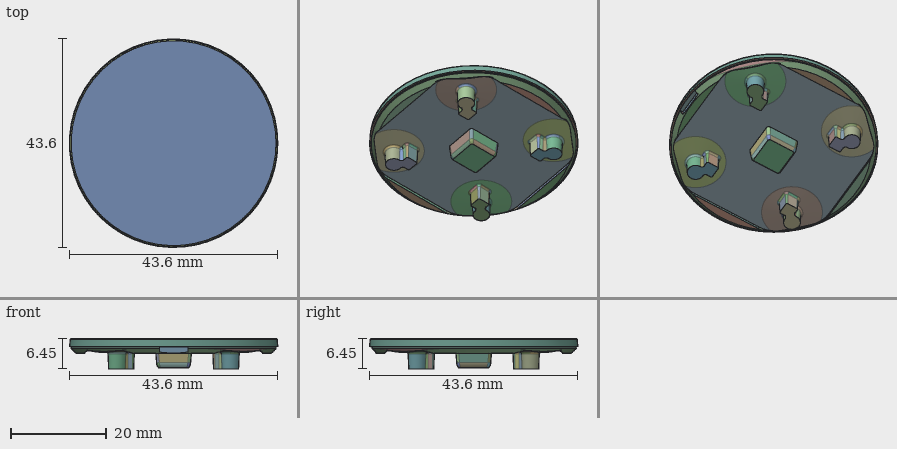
import cadquery as cq
import math

cap_radius = 21.8
cap_top_radius = 21.7
cap_height = 1.75
cap_chamfer = 0.25

film_thickness = 0.15

base_radius = 21.45
base_straight_bottom = -0.4
base_bottom = -1.45
rim_bottom_radius = base_radius - (base_straight_bottom - base_bottom)

notch_half_width = 2.95
notch_flat_distance = 20.5

recess_half_width = 18.65
recess_corner_distance = 20.6
recess_corner_fillet = 6.1
recess_floor = -0.75

peg_count = 4
peg_bottom = -4.7
peg_offset = 11.85
peg_radius = 1.75
peg_draft = 2.3
tail_inner = 8.35
tail_outer = 11.15
tail_corner_radius = 0.3
tail_blend_radius = 0.6
peg_root_fillet = 0.45

pad_radius = 10.45
pad_top = -0.35
pad_tip = -1.35

block_half_width = 3.58
block_top_half_width = 3.8
block_bottom_half_width = 3.15
block_rounding_top = -3.35
block_bottom = -4.45
block_corner_radius = 0.6


def turned(profile):
    """Solid made by turning a closed (radius, height) outline about the Z axis."""
    return cq.Workplane("XZ").polyline(profile).close().revolve(360, (0, 0, 0), (0, 1, 0))


def make_cap():
    """Disc that narrows a little towards its chamfered top face."""
    return turned([
        (0, 0),
        (cap_radius, 0),
        (cap_top_radius, cap_height - cap_chamfer),
        (cap_top_radius - cap_chamfer, cap_height),
        (0, cap_height),
    ])


def make_film():
    """Flat disc as wide as the base."""
    return cq.Workplane("XY").circle(base_radius).extrude(-film_thickness)


def rim_disc():
    """Plain base disc with its sloping rim."""
    return turned([
        (0, -film_thickness),
        (base_radius, -film_thickness),
        (base_radius, base_straight_bottom),
        (rim_bottom_radius, base_bottom),
        (0, base_bottom),
    ])


def side_notch():
    """Cutter that leaves a flat at the notch distance, through the full base thickness."""
    depth = base_radius - notch_flat_distance
    return (
        cq.Workplane("XY", origin=(0, -notch_flat_distance - depth / 2, base_bottom))
        .rect(2 * notch_half_width, depth)
        .extrude(-film_thickness - base_bottom)
    )


def recess():
    """Square pocket with 45 degree corner walls that run smoothly into its sides."""
    depth = recess_floor - base_bottom
    recess_plane = cq.Workplane("XY", origin=(0, 0, base_bottom))
    square = recess_plane.rect(2 * recess_half_width, 2 * recess_half_width).extrude(depth)
    diamond = (
        recess_plane
        .rect(2 * recess_corner_distance, 2 * recess_corner_distance)
        .extrude(depth)
        .rotate((0, 0, 0), (0, 0, 1), 45)
    )
    return square.intersect(diamond).edges("|Z").fillet(recess_corner_fillet)


def mirrored(point):
    """Reflect a point in the diagonal X = Y."""
    return point[1], point[0]


def peg_outline():
    """Round post whose concave blends lead into a rounded square tail."""
    centre_gap = peg_radius + tail_blend_radius
    blend_y = tail_outer + tail_blend_radius
    blend_x = peg_offset - math.sqrt(centre_gap**2 - (peg_offset - blend_y) ** 2)
    share = peg_radius / centre_gap
    post_tangent = (
        peg_offset + share * (blend_x - peg_offset),
        peg_offset + share * (blend_y - peg_offset),
    )
    far_side = peg_offset + peg_radius * math.sqrt(0.5)
    tail_start = (blend_x, tail_outer)
    corner_start = (tail_inner + tail_corner_radius, tail_outer)
    corner_end = (tail_inner, tail_outer - tail_corner_radius)
    inner_start = (tail_inner, tail_inner + tail_corner_radius)
    return (
        cq.Workplane("XY", origin=(0, 0, peg_bottom))
        .moveTo(*mirrored(post_tangent))
        .threePointArc((far_side, far_side), post_tangent)
        .radiusArc(tail_start, tail_blend_radius)
        .lineTo(*corner_start)
        .radiusArc(corner_end, -tail_corner_radius)
        .lineTo(*inner_start)
        .radiusArc(mirrored(inner_start), -tail_corner_radius)
        .lineTo(*mirrored(corner_end))
        .radiusArc(mirrored(corner_start), -tail_corner_radius)
        .lineTo(*mirrored(tail_start))
        .radiusArc(mirrored(post_tangent), tail_blend_radius)
        .close()
    )


def padded_peg():
    """Peg on the +X +Y diagonal with its cone-shaped pad and the fillet between them."""
    peg = peg_outline().extrude(recess_floor - peg_bottom, taper=-peg_draft)
    pad = turned([
        (0, pad_top),
        (pad_radius, pad_top),
        (0, pad_tip),
    ]).translate((peg_offset, peg_offset, 0))
    peg_surroundings = cq.selectors.BoxSelector(
        (0, 0, pad_tip),
        (2 * peg_offset, 2 * peg_offset, recess_floor),
    )
    return pad.union(peg).edges(peg_surroundings).fillet(peg_root_fillet)


def block_profile(plane):
    """Long bar whose section has drafted sides and rounded lower corners."""
    drop = block_rounding_top - block_bottom
    inset = block_half_width - block_bottom_half_width
    radius = (drop**2 + inset**2) / (2 * inset)
    return (
        cq.Workplane(plane)
        .moveTo(-block_top_half_width, recess_floor)
        .lineTo(-block_half_width, block_rounding_top)
        .radiusArc((-block_bottom_half_width, block_bottom), -radius)
        .lineTo(block_bottom_half_width, block_bottom)
        .radiusArc((block_half_width, block_rounding_top), -radius)
        .lineTo(block_top_half_width, recess_floor)
        .close()
        .extrude(block_top_half_width, both=True)
    )


def centre_block():
    """Square block with the same side profile in both directions and rounded corners."""
    square_block = block_profile("XZ").intersect(block_profile("YZ"))
    return square_block.edges("not (|X or |Y)").fillet(block_corner_radius)


def below_rim():
    """Space inside the sloping rim, extended straight down past the pegs."""
    return turned([
        (0, -film_thickness),
        (base_radius, -film_thickness),
        (base_radius, base_straight_bottom),
        (rim_bottom_radius, base_bottom),
        (rim_bottom_radius, peg_bottom),
        (0, peg_bottom),
    ])


def make_base():
    """Recessed disc that carries the centre block and the pegs."""
    body = rim_disc().cut(recess()).cut(side_notch()).union(centre_block())
    trimmed_peg = padded_peg().intersect(below_rim())
    for i in range(peg_count):
        body = body.union(trimmed_peg.rotate((0, 0, 0), (0, 0, 1), 360 * i / peg_count))
    return body


cap = make_cap()
film = make_film()
base = make_base()
result = cq.Compound.makeCompound([cap.val(), film.val(), base.val()])